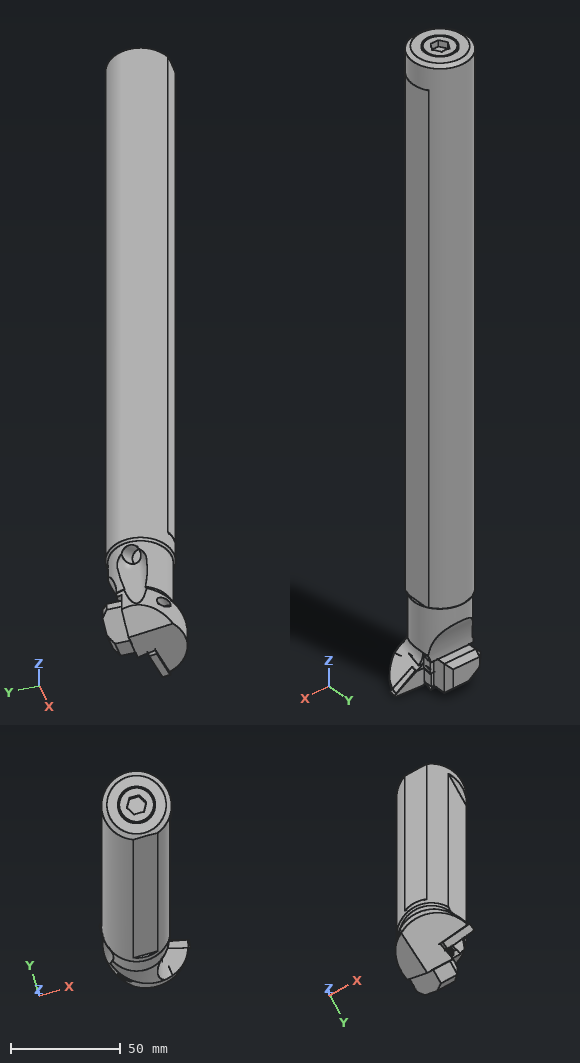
import cadquery as cq
import math

total_length = 355.0
shank_radius = 16.0
shank_bottom = 52.0
top_chamfer_width = 2.5
top_chamfer_height = 1.5
front_flat_distance = 15.0
front_flat_bottom = 60.7
side_flat_distance = 13.5
side_flat_top = 341.0

neck_radius = 15.0
neck_top = shank_bottom - (shank_radius - neck_radius)
neck_bottom = 22.7
flare_angle = 59.0

head_x = 4.0
head_y = -0.7
head_radius = 19.5
back_bevel_start = (-15.5, 10.5)
end_face_height = 3.0
end_face_fall_x = 3.0
end_face_fall_y = 3.0

gullet_top = (16.5, 43.5)
gullet_middle = (9.5, 32.5)
gullet_bottom = (7.0, 19.0)
clamp_seat_y = 4.3

scoop_radius = 7.8
scoop_x = 12.5
scoop_z = 18.5
scoop_turn = 14.0

insert_corner_x = 25.5
insert_corner_y = -3.2
insert_edge = 16.7
insert_angle = 35.0
insert_lead = 3.0
insert_thickness = 4.0
insert_nose_radius = 0.7
insert_tilt = 7.0
insert_slope = insert_angle + insert_lead
nose_centre_slope = math.radians(insert_lead + insert_angle / 2)
nose_half_angle = math.radians(insert_angle / 2)
insert_corner_z = insert_nose_radius * (1 - math.sin(nose_centre_slope) / math.sin(nose_half_angle))

clamp_left = -14.2
clamp_right = 7.0
clamp_outer_y = 14.5
clamp_low = 3.0
clamp_high = gullet_bottom[1]
clamp_bevel = 3.0
clamp_bevel_lift = 3.2
nose_right = 8.5

groove_radius = 7.0
groove_end = (-14.2, 0.0, 39.8)
groove_side_lean = 9.0
groove_out_lean = 17.0
groove_length = 42.5
outlet_radius = 4.3
outlet_mouth = (-15.0, 0.5, 43.7)
outlet_lean = 55.0
outlet_depth = 21.3
side_hole_radius = 2.5
side_hole_depth = 5.5
side_hole_y = -14.2
side_hole_z = 14.0

plug_radius = 8.5
plug_length = 17.8
plug_chamfer = 0.7
socket_sides = 6
socket_across_corners = 9.2
socket_depth = 3.5

far = 71.0


def box(x0, x1, y0, y1, z0, z1):
    return cq.Workplane("XY").box(x1 - x0, y1 - y0, z1 - z0, centered=False).translate((x0, y0, z0))


def cylinder_along(start, direction, radius, length):
    return cq.Workplane(cq.Solid.makeCylinder(radius, length, cq.Vector(*start), cq.Vector(*direction)))


def below_back_bevel(lift=0.0):
    """Everything behind the sloping back face, which runs parallel to the insert's upper edge."""
    slope = math.tan(math.radians(insert_slope))
    x, z = back_bevel_start
    z += lift
    outline = [(x - far, z + far * slope), (x + far, z - far * slope), (x - far, z - far * slope)]
    return cq.Workplane("XZ").polyline(outline).close().extrude(far, both=True)


def make_shank():
    shank = cq.Workplane("XY").workplane(offset=shank_bottom).circle(shank_radius)
    shank = shank.extrude(total_length - shank_bottom)
    shank = shank.faces(">Z").edges().chamfer(top_chamfer_height, top_chamfer_width)
    shank = shank.cut(box(-far, far, -far, -front_flat_distance, front_flat_bottom, total_length))
    return shank


def make_neck():
    flare_radius = neck_radius + neck_bottom / math.tan(math.radians(flare_angle))
    outline = [
        (0, 0),
        (flare_radius, 0),
        (neck_radius, neck_bottom),
        (neck_radius, neck_top),
        (shank_radius, shank_bottom),
        (0, shank_bottom),
    ]
    return cq.Workplane("XZ").polyline(outline).close().revolve()


def make_head_limit():
    """The eccentric cylinder that bounds the flare, joined to the round neck above it."""
    head = cq.Workplane("XY").center(head_x, head_y).circle(head_radius).extrude(neck_bottom)
    column = cq.Workplane("XY").workplane(offset=neck_bottom).circle(shank_radius)
    return head.union(column.extrude(shank_bottom - neck_bottom))


def end_face_cutter():
    cutter = box(-far, far, -far, far, -far, 0)
    cutter = cutter.rotate((0, 0, 0), (0, 1, 0), end_face_fall_x)
    cutter = cutter.rotate((0, 0, 0), (1, 0, 0), -end_face_fall_y)
    return cutter.translate((head_x, head_y - head_radius, end_face_height))


def gullet_cutter():
    outline = (
        cq.Workplane("YZ")
        .moveTo(*gullet_top)
        .threePointArc(gullet_middle, gullet_bottom)
        .lineTo(clamp_seat_y, gullet_bottom[1])
        .lineTo(clamp_seat_y, -far)
        .lineTo(far, -far)
        .lineTo(far, gullet_top[1])
        .close()
    )
    return outline.extrude(far, both=True)


def scoop_cutter():
    """Round scoop above a face that follows the insert's upper edge."""
    scoop = cq.Workplane("XZ").center(scoop_x, scoop_z).circle(scoop_radius).extrude(far, both=True)
    scoop = scoop.union(box(scoop_x, far, -far, far, scoop_z - scoop_radius, scoop_z + scoop_radius))
    pivot = (scoop_x, head_y - head_radius)
    scoop = scoop.rotate((*pivot, 0), (*pivot, 1), -scoop_turn)
    slope = math.tan(math.radians(insert_slope))
    low = (insert_corner_x, insert_corner_z)
    high = (low[0] - insert_edge, low[1] + insert_edge * slope)
    outline = [high, low, (far, low[1]), (far, high[1])]
    return scoop.union(cq.Workplane("XZ").polyline(outline).close().extrude(far, both=True))


def insert_prism(top, bottom):
    """Rhombus of the insert between two heights measured along Y from its cutting face."""
    corner = cq.Vector(insert_corner_x, insert_corner_z)

    def along(angle):
        turn = math.radians(angle)
        return cq.Vector(-insert_edge * math.cos(turn), insert_edge * math.sin(turn))

    low = along(insert_lead)
    high = along(insert_slope)
    points = [corner, corner + low, corner + low + high, corner + high]
    prism = cq.Workplane("XZ").polyline([(p.x, p.y) for p in points]).close().extrude(top - bottom)
    prism = prism.edges("|Y and >X").fillet(insert_nose_radius)
    prism = prism.translate((0, insert_corner_y + top, 0))
    pivot = (insert_corner_x, insert_corner_y)
    return prism.rotate((*pivot, 0), (*pivot, 1), -insert_tilt)


def cutting_clearance():
    """Free space in front of the exposed part of the insert's cutting face."""
    pivot = (insert_corner_x, insert_corner_y)
    space = box(nose_right, far, insert_corner_y, far, -far, scoop_z)
    return space.rotate((*pivot, 0), (*pivot, 1), -insert_tilt)


def make_insert():
    return insert_prism(0, -insert_thickness)


def make_clamp():
    clamp = box(clamp_left, clamp_right, clamp_seat_y, clamp_outer_y, clamp_low, clamp_high)
    clamp = clamp.edges(">Y or (<X and |Y)").chamfer(clamp_bevel)
    nose_room = box(-far, nose_right, -far, clamp_seat_y, clamp_low, clamp_high)
    nose = insert_prism(clamp_outer_y, 0).intersect(nose_room)
    return clamp.union(nose).cut(below_back_bevel(clamp_bevel_lift))


def groove_cutter():
    out = math.tan(math.radians(groove_out_lean))
    side = math.tan(math.radians(groove_side_lean))
    groove = cylinder_along(groove_end, (-out, -side, -1), groove_radius, groove_length)
    return groove.union(cq.Workplane("XY").sphere(groove_radius).translate(groove_end))


def outlet_cutter():
    lean = math.radians(outlet_lean)
    inward = cq.Vector(math.sin(lean), 0, math.cos(lean))
    start = cq.Vector(*outlet_mouth) - inward * outlet_depth
    return cylinder_along(start.toTuple(), inward.toTuple(), outlet_radius, 2 * outlet_depth)


def side_hole_cutter():
    """Blind hole along X, its depth measured where its axis meets the head's round side."""
    mouth_x = head_x - math.sqrt(head_radius**2 - (side_hole_y - head_y) ** 2)
    start = (mouth_x - far, side_hole_y, side_hole_z)
    return cylinder_along(start, (1, 0, 0), side_hole_radius, far + side_hole_depth)


def make_plug():
    plug = cq.Workplane("XY").workplane(offset=total_length - plug_length).circle(plug_radius)
    plug = plug.extrude(plug_length).faces(">Z").edges().chamfer(plug_chamfer)
    return plug.faces(">Z").workplane().polygon(socket_sides, socket_across_corners).cutBlind(-socket_depth)


def make_bar():
    bar = make_neck().intersect(make_head_limit()).union(make_shank())
    bar = bar.cut(box(side_flat_distance, far, -far, far, neck_top, side_flat_top))
    bar = bar.cut(below_back_bevel()).cut(end_face_cutter())
    bar = bar.cut(gullet_cutter()).cut(scoop_cutter())
    bar = bar.cut(groove_cutter()).cut(outlet_cutter()).cut(side_hole_cutter())
    bar = bar.cut(insert_prism(far, -insert_thickness)).cut(cutting_clearance())
    plug_bore = cq.Workplane("XY").workplane(offset=total_length - plug_length).circle(plug_radius)
    return bar.cut(plug_bore.extrude(plug_length))


bar = make_bar()
plug = make_plug()
insert = make_insert()
clamp = make_clamp()

bodies = [bar, plug, insert, clamp]
result = cq.Compound.makeCompound([solid for body in bodies for solid in body.solids().vals()])